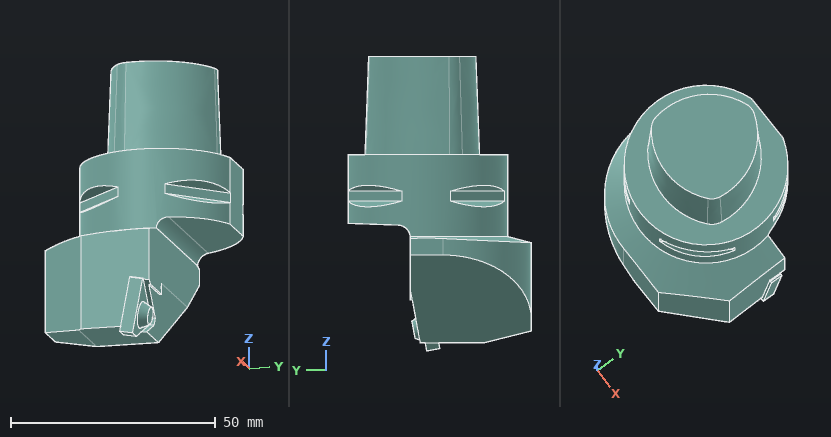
import cadquery as cq
import math

SHANK_LENGTH = 24.0
CORNER_REACH = 15.0
CORNER_RADIUS = 5.1
FLANK_REACH = 13.1
SHANK_INSET = 0.9

FLANGE_RADIUS = 20.0
FLANGE_HEIGHT = 20.0
FLAT_Y = 19.0
GROOVE_Z = -10.15
GROOVE_FLOOR_DISTANCE = 17.7
GROOVE_FLOOR_HEIGHT = 2.4
GROOVE_MOUTH_HEIGHT = 5.25
GROOVE_COUNT = 4

HEAD_LEFT = -21.5
HEAD_RIGHT = 26.3
HEAD_FRONT = -25.7
HEAD_BACK = 3.9
HEAD_BOTTOM = -46.0
HEAD_CORNER_RADIUS = 21.5
HEAD_CORNER_CHAMFER = 12.4
HEAD_TOP_SLOPE = 15
UNDERSIDE_LEFT_Z = -24.55
UNDERSIDE_END_X = 8.1
FRONT_BEVEL_LENGTH = 11.5
FRONT_BEVEL_HEIGHT = 2.9

RELIEF_Z = -16.85
RELIEF_SLOPE = 2
RELIEF_FILLET = 3.0

RAKE_ANGLE = 10.6
FACE_START_Z = -32.8
FACE_STEP_Z = -35.6
FACE_STEP_X = 14.4

INSERT_TIP_Z = SHANK_LENGTH - 72
INSERT_TIP_Y = -0.15
INSERT_RIGHT = 27.0
INSERT_THICKNESS = 3.3
INSERT_HEIGHT = 14.0
INSERT_TIP_WIDTH = 3.7
INSERT_TOP_WIDTH = 0.4
INSERT_NOSE_X = 14.4
INSERT_EDGE_ANGLE = 30

SCREW_X = 22.3
SCREW_RISE = 5.7
SCREW_HEAD_BASE_RADIUS = 3.3
SCREW_HEAD_TOP_RADIUS = 2.15
SCREW_HEAD_HEIGHT = 2.2
SCREW_SHAFT_RADIUS = 1.45
SCREW_SHAFT_LENGTH = 7.2

CUT_MARGIN = 14.4


def polar(radius, degrees):
    angle = math.radians(degrees)
    return cq.Vector(radius * math.cos(angle), radius * math.sin(angle))


def shank_outline(inset, z):
    """Three rounded corners joined tangentially by three larger flank arcs."""
    corner_radius = CORNER_RADIUS - inset
    flank_reach = FLANK_REACH - inset
    corner_center = CORNER_REACH - CORNER_RADIUS
    gap = FLANK_REACH - CORNER_RADIUS
    flank_center = (corner_center**2 - gap**2) / (2 * gap - corner_center)
    tangents = []
    for corner in (90, 210, 330):
        center = polar(corner_center, corner)
        for far_corner in (corner + 120, corner - 120):
            direction = (center - polar(flank_center, far_corner)).normalized()
            tangents.append(center + direction * corner_radius)
    outline = cq.Workplane("XY").workplane(offset=z).moveTo(*tangents[0].toTuple()[:2])
    for index in range(3):
        corner = 90 + 120 * index
        corner_top = polar(corner_center + corner_radius, corner)
        flank_middle = polar(flank_reach, corner + 60)
        corner_end = tangents[2 * index + 1]
        next_start = tangents[(2 * index + 2) % 6]
        outline = outline.threePointArc(corner_top.toTuple()[:2], corner_end.toTuple()[:2])
        outline = outline.threePointArc(flank_middle.toTuple()[:2], next_start.toTuple()[:2])
    return outline.close().wire().val()


def make_shank():
    wires = [shank_outline(0, 0), shank_outline(SHANK_INSET, SHANK_LENGTH)]
    return cq.Workplane(obj=cq.Solid.makeLoft(wires, True))


def make_flange():
    flange = cq.Workplane("XY").circle(FLANGE_RADIUS).extrude(-FLANGE_HEIGHT)
    beyond_flat = cq.Workplane("XY").box(
        2 * FLANGE_RADIUS, CUT_MARGIN, FLANGE_HEIGHT, centered=(True, False, False)
    ).translate((0, FLAT_Y, -FLANGE_HEIGHT))
    flange = flange.cut(beyond_flat)
    flare = (GROOVE_MOUTH_HEIGHT - GROOVE_FLOOR_HEIGHT) / 2 / (FLANGE_RADIUS - GROOVE_FLOOR_DISTANCE)
    outer = FLANGE_RADIUS + 0.7
    floor_half = GROOVE_FLOOR_HEIGHT / 2
    outer_half = floor_half + flare * (outer - GROOVE_FLOOR_DISTANCE)
    groove = (
        cq.Workplane("XZ")
        .polyline([
            (GROOVE_FLOOR_DISTANCE, GROOVE_Z - floor_half),
            (outer, GROOVE_Z - outer_half),
            (outer, GROOVE_Z + outer_half),
            (GROOVE_FLOOR_DISTANCE, GROOVE_Z + floor_half),
        ])
        .close()
        .extrude(FLANGE_RADIUS, both=True)
    )
    for index in range(GROOVE_COUNT):
        angle = 45 + index * 360 / GROOVE_COUNT
        flange = flange.cut(groove.rotate((0, 0, 0), (0, 0, 1), angle))
    return flange


def make_head():
    arc_center = (HEAD_LEFT + HEAD_CORNER_RADIUS, HEAD_FRONT + HEAD_CORNER_RADIUS)
    arc_middle = polar(HEAD_CORNER_RADIUS, 225) + cq.Vector(*arc_center)
    head = (
        cq.Workplane("XY")
        .workplane(offset=HEAD_BOTTOM)
        .moveTo(HEAD_LEFT, HEAD_BACK)
        .lineTo(HEAD_LEFT, arc_center[1])
        .threePointArc((arc_middle.x, arc_middle.y), (arc_center[0], HEAD_FRONT))
        .lineTo(HEAD_RIGHT - HEAD_CORNER_CHAMFER, HEAD_FRONT)
        .lineTo(HEAD_RIGHT, HEAD_FRONT + HEAD_CORNER_CHAMFER)
        .lineTo(HEAD_RIGHT, HEAD_BACK)
        .close()
        .extrude(-FLANGE_HEIGHT - HEAD_BOTTOM)
    )
    cone_radius = FLANGE_RADIUS + CUT_MARGIN
    cone_drop = CUT_MARGIN * math.tan(math.radians(HEAD_TOP_SLOPE))
    roof = (
        cq.Workplane("XZ")
        .polyline([
            (0, HEAD_BOTTOM),
            (cone_radius, HEAD_BOTTOM),
            (cone_radius, -FLANGE_HEIGHT - cone_drop),
            (FLANGE_RADIUS, -FLANGE_HEIGHT),
            (0, -FLANGE_HEIGHT),
        ])
        .close()
        .revolve(360, (0, 0), (0, 1))
    )
    underside = (
        cq.Workplane("XZ")
        .polyline([
            (HEAD_LEFT, UNDERSIDE_LEFT_Z),
            (UNDERSIDE_END_X, HEAD_BOTTOM),
            (HEAD_LEFT, HEAD_BOTTOM),
        ])
        .close()
        .extrude(-HEAD_FRONT + CUT_MARGIN, both=True)
    )
    bevel = (
        cq.Workplane("YZ")
        .polyline([
            (HEAD_FRONT, HEAD_BOTTOM),
            (HEAD_FRONT + FRONT_BEVEL_LENGTH, HEAD_BOTTOM),
            (HEAD_FRONT, HEAD_BOTTOM + FRONT_BEVEL_HEIGHT),
        ])
        .close()
        .extrude(HEAD_RIGHT + CUT_MARGIN, both=True)
    )
    return head.intersect(roof).cut(underside).cut(bevel)


def make_back_relief():
    """Cutter that clears the flange behind the head, with a rounded inner corner."""
    outer_y = FLAT_Y + CUT_MARGIN
    slope = math.tan(math.radians(RELIEF_SLOPE))
    return (
        cq.Workplane("YZ")
        .polyline([
            (HEAD_BACK, HEAD_BOTTOM),
            (outer_y, HEAD_BOTTOM),
            (outer_y, RELIEF_Z + slope * (outer_y - FLAT_Y)),
            (HEAD_BACK, RELIEF_Z - slope * (FLAT_Y - HEAD_BACK)),
        ])
        .close()
        .extrude(HEAD_RIGHT + CUT_MARGIN, both=True)
        .edges(cq.selectors.NearestToPointSelector((0, HEAD_BACK, RELIEF_Z)))
        .fillet(RELIEF_FILLET)
    )


def make_inclined_face_cut():
    """Cutter for the inclined back face, stepped lower down on the insert side."""
    lean = math.tan(math.radians(RAKE_ANGLE)) * (FACE_START_Z - HEAD_BOTTOM)
    wedge = (
        cq.Workplane("YZ")
        .polyline([
            (HEAD_BACK, FACE_START_Z),
            (HEAD_BACK, HEAD_BOTTOM),
            (HEAD_BACK - lean, HEAD_BOTTOM),
        ])
        .close()
        .extrude(HEAD_RIGHT + CUT_MARGIN, both=True)
    )
    step = cq.Workplane("XY").box(
        HEAD_RIGHT - FACE_STEP_X + CUT_MARGIN, CUT_MARGIN, FACE_START_Z - FACE_STEP_Z,
        centered=(False, True, False),
    ).translate((FACE_STEP_X, HEAD_BACK, FACE_STEP_Z))
    return wedge.cut(step)


def insert_plane():
    """Outer face of the insert: local Y climbs the face, the normal points into the head."""
    angle = math.radians(RAKE_ANGLE)
    return cq.Workplane(cq.Plane(
        origin=(0, INSERT_TIP_Y, INSERT_TIP_Z),
        xDir=(1, 0, 0),
        normal=(0, -math.cos(angle), math.sin(angle)),
    ))


def insert_prism(depth):
    slope = math.tan(math.radians(INSERT_EDGE_ANGLE))
    tip_x = INSERT_RIGHT - INSERT_TIP_WIDTH
    top_x = INSERT_RIGHT - INSERT_TOP_WIDTH
    return (
        insert_plane()
        .polyline([
            (INSERT_RIGHT, 0),
            (tip_x, 0),
            (INSERT_NOSE_X, slope * (tip_x - INSERT_NOSE_X)),
            (INSERT_NOSE_X, INSERT_HEIGHT - slope * (top_x - INSERT_NOSE_X)),
            (top_x, INSERT_HEIGHT),
            (INSERT_RIGHT, INSERT_HEIGHT - slope * INSERT_TOP_WIDTH),
        ])
        .close()
        .extrude(depth)
    )


def make_screw():
    base = insert_plane().center(SCREW_X, SCREW_RISE)
    taper = math.degrees(math.atan2(SCREW_HEAD_BASE_RADIUS - SCREW_HEAD_TOP_RADIUS, SCREW_HEAD_HEIGHT))
    head = base.circle(SCREW_HEAD_BASE_RADIUS).extrude(-SCREW_HEAD_HEIGHT, taper=taper)
    shaft = base.circle(SCREW_SHAFT_RADIUS).extrude(SCREW_SHAFT_LENGTH)
    return head.union(shaft)


def make_holder(screw):
    holder = make_shank().union(make_flange()).union(make_head())
    holder = holder.cut(make_back_relief()).cut(make_inclined_face_cut())
    seat = insert_prism(INSERT_THICKNESS).union(insert_prism(-SCREW_HEAD_HEIGHT))
    return holder.cut(seat).cut(screw)


screw = make_screw()
insert = insert_prism(INSERT_THICKNESS).cut(screw)
holder = make_holder(screw)

bodies = [holder, insert, screw]
result = cq.Compound.makeCompound([body.solids().val() for body in bodies])